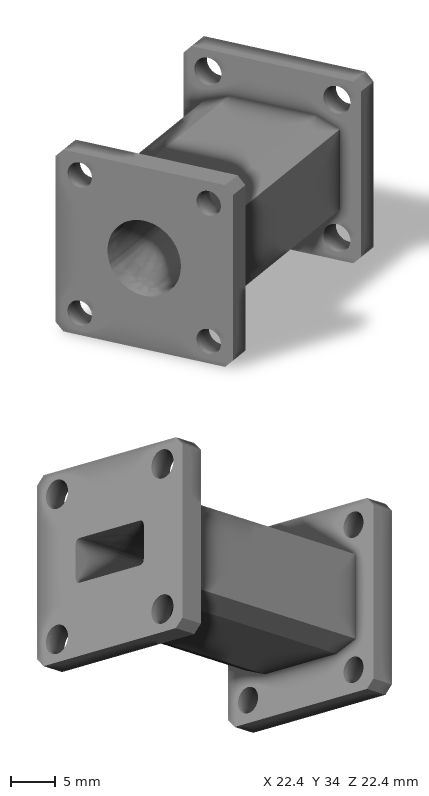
import cadquery as cq

flange_side = 22.4
flange_thickness = 3.0
flange_corner_chamfer = 1.0
total_length = 34.0
body_length = total_length - 2 * flange_thickness

front_hole_diameter = 3.07
back_hole_diameter = 3.4
bolt_spacing_x = 16.26
bolt_spacing_z = 17.02

circle_diameter = 9.25
opening_width = 10.5
opening_height = 5.25
opening_corner_radius = 0.6

body_width = 17.0
body_height = 12.1
body_bevel_x = 3.0
body_bevel_z = 1.1

front_y = -total_length / 2
back_flange_y = total_length / 2 - flange_thickness


def plane_at(y):
    """XZ plane at the given Y, with its normal pointing toward +Y."""
    return cq.Workplane(cq.Plane(origin=(0, y, 0), xDir=(1, 0, 0), normal=(0, 1, 0)))


def make_flange(start_y):
    """Square plate with chamfered corners, reaching from start_y toward +Y."""
    plate = plane_at(start_y).rect(flange_side, flange_side).extrude(flange_thickness)
    return plate.edges("|Y").chamfer(flange_corner_chamfer)


def make_body():
    """Octagonal bar that joins the two flanges."""
    half_width = body_width / 2
    half_height = body_height / 2
    flat_x = half_width - body_bevel_x
    flat_z = half_height - body_bevel_z
    outline = [
        (half_width, flat_z),
        (flat_x, half_height),
        (-flat_x, half_height),
        (-half_width, flat_z),
        (-half_width, -flat_z),
        (-flat_x, -half_height),
        (flat_x, -half_height),
        (half_width, -flat_z),
    ]
    return plane_at(front_y + flange_thickness).polyline(outline).close().extrude(body_length)


def make_bore():
    """Transition from the circle at the front end to the rounded rectangle at the back end."""
    to_back_end = cq.Location(cq.Vector(0, 0, total_length))
    circle = cq.Sketch().circle(circle_diameter / 2)
    rounded_rectangle = cq.Sketch().rect(opening_width, opening_height).vertices().fillet(opening_corner_radius)
    return (
        plane_at(front_y)
        .placeSketch(circle, rounded_rectangle.moved(to_back_end))
        .loft()
    )


def make_bolt_holes(start_y, diameter):
    """Four bolt holes through the flange that starts at start_y."""
    return (
        plane_at(start_y)
        .rect(bolt_spacing_x, bolt_spacing_z, forConstruction=True)
        .vertices()
        .circle(diameter / 2)
        .extrude(flange_thickness)
    )


result = (
    make_body()
    .union(make_flange(front_y))
    .union(make_flange(back_flange_y))
    .cut(make_bore())
    .cut(make_bolt_holes(front_y, front_hole_diameter))
    .cut(make_bolt_holes(back_flange_y, back_hole_diameter))
)